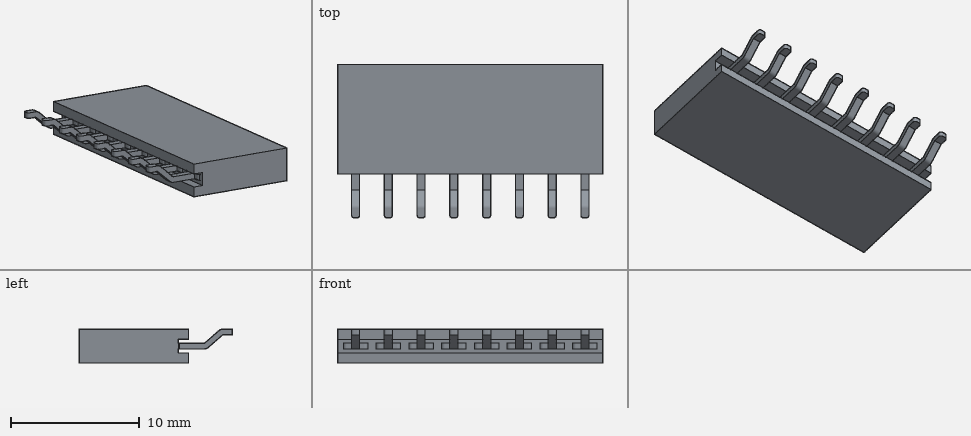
import cadquery as cq
import math

pin_count = 8
pitch = 2.54

length = 20.57
height = 2.65
depth = 8.5
slot_depth = 0.8
slot_height = 1.05

pin_reach = 3.4
pin_width = 0.64
thickness = 0.45
bend_angle = math.radians(41)
lower_bend_reach = 1.22
tip_radius = 0.2

head_width = 1.9
head_length = 1.5
head_radius = 0.27
head_proud = 0.1

slot_floor_y = slot_depth
head_front_y = slot_floor_y - head_proud
head_back_y = head_front_y + head_length
pocket_depth = head_back_y - slot_floor_y
flat_bottom_z = (height - thickness) / 2
flat_top_z = flat_bottom_z + thickness
tip_bottom_z = height - thickness
pin_xs = [(i - (pin_count - 1) / 2) * pitch for i in range(pin_count)]


def pin_head(x):
    """Wide plate with rounded front corners."""
    return (
        cq.Workplane("XY")
        .box(head_width, head_length, thickness, centered=(True, False, False))
        .edges("|Z and <Y")
        .fillet(head_radius)
        .translate((x, head_front_y, flat_bottom_z))
    )


def pin_lead(x):
    """Strip that runs level out of the head, slopes up and ends level.

    Each bend is sharp on its inside and an arc of one strip thickness outside.
    """
    sin_bend = math.sin(bend_angle)
    cos_bend = math.cos(bend_angle)
    slope_length = (tip_bottom_z - flat_top_z + thickness * cos_bend) / sin_bend
    slope_run = slope_length * cos_bend + thickness * sin_bend
    lower_y = -lower_bend_reach
    upper_y = lower_y - slope_run

    def around(y, z, angle):
        """Point one thickness from a bend's inner corner, turned from +Z toward +Y."""
        return (y + thickness * math.sin(angle), z + thickness * math.cos(angle))

    lower_arc_mid = around(lower_y, flat_top_z, math.pi + bend_angle / 2)
    lower_arc_end = around(lower_y, flat_top_z, math.pi + bend_angle)
    upper_arc_start = around(upper_y, tip_bottom_z, bend_angle)
    upper_arc_mid = around(upper_y, tip_bottom_z, bend_angle / 2)

    strip = (
        cq.Workplane("YZ")
        .moveTo(head_back_y, flat_bottom_z)
        .lineTo(lower_y, flat_bottom_z)
        .threePointArc(lower_arc_mid, lower_arc_end)
        .lineTo(upper_y, tip_bottom_z)
        .lineTo(-pin_reach, tip_bottom_z)
        .lineTo(-pin_reach, height)
        .lineTo(upper_y, height)
        .threePointArc(upper_arc_mid, upper_arc_start)
        .lineTo(lower_y, flat_top_z)
        .lineTo(head_back_y, flat_top_z)
        .close()
        .extrude(pin_width / 2, both=True)
    )
    return strip.edges("|Z and <Y").fillet(tip_radius).translate((x, 0, 0))


def make_pin(x):
    return pin_head(x).union(pin_lead(x))


def head_pocket(x):
    """Square-cornered pocket that a pin head fills up to its rounded corners."""
    return (
        cq.Workplane("XY")
        .box(head_width, pocket_depth, thickness, centered=(True, False, True))
        .translate((x, slot_floor_y, height / 2))
    )


def make_housing():
    """Bar with the front slot and a pocket for each pin head."""
    bar = cq.Workplane("XY").box(length, depth, height, centered=(True, False, False))
    slot = (
        cq.Workplane("XY")
        .box(length, slot_depth, slot_height, centered=(True, False, True))
        .translate((0, 0, height / 2))
    )
    body = bar.cut(slot)
    for x in pin_xs:
        body = body.cut(head_pocket(x))
    return body


pins = [make_pin(x) for x in pin_xs]
housing = make_housing()

result = cq.Compound.makeCompound([housing.val(), *[pin.val() for pin in pins]])